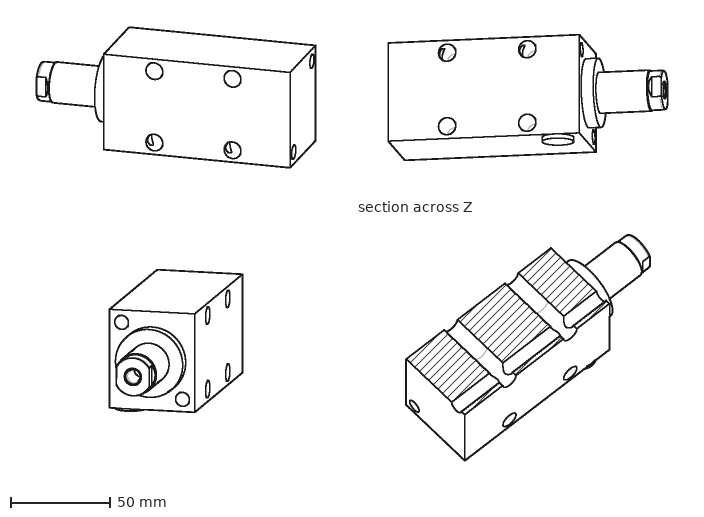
import cadquery as cq

total_length = 137.9
block_start = 39.6
block_width = 44.4
block_height = 50.9

flange_diameter = 35.0
flange_thickness = 6.2

shaft_diameter = 20.8
tip_diameter = 20.0
tip_length = 6.9
tip_chamfer_length = 1.0
tip_chamfer_depth = 0.3

flat_width = 17.1
flat_length = 5.0

bore_diameter = 6.8
bore_mouth_diameter = 8.8
bore_step_diameter = 7.7
bore_step_depth = 2.0
bore_depth = 16.5

cross_hole_diameter = 8.8
cross_hole_start = 66.3
cross_hole_pitch = 41.2
long_hole_diameter = 7.2
hole_offset_y = 15.9
hole_offset_z = 19.0

port_diameter = 16.0
port_height = 2.2
port_x = 52.1

block_length = total_length - block_start
flange_start = block_start - flange_thickness
shaft_radius = shaft_diameter / 2
tip_radius = tip_diameter / 2
shoulder_length = shaft_radius - tip_radius
port_y = block_width / 2 - port_diameter / 2


def make_block():
    """Rectangular housing with a round flange on its front face."""
    block = cq.Workplane("XY").box(block_length, block_width, block_height)
    block = block.translate((block_start + block_length / 2, 0, 0))
    flange = cq.Workplane("YZ", origin=(flange_start, 0, 0)).circle(flange_diameter / 2)
    return block.union(flange.extrude(flange_thickness))


def make_port():
    """Low round boss under the housing, touching the line of its +Y side."""
    bottom = cq.Workplane("XY", origin=(port_x, port_y, -block_height / 2))
    return bottom.circle(port_diameter / 2).extrude(-port_height)


def make_shaft():
    """Turned shaft with a reduced, chamfered tip and a 45 degree shoulder."""
    profile = (
        cq.Workplane("XY")
        .moveTo(0, 0)
        .lineTo(0, tip_radius - tip_chamfer_depth)
        .lineTo(tip_chamfer_length, tip_radius)
        .lineTo(tip_length, tip_radius)
        .lineTo(tip_length + shoulder_length, shaft_radius)
        .lineTo(block_start, shaft_radius)
        .lineTo(block_start, 0)
        .close()
    )
    return profile.revolve(360, (0, 0, 0), (1, 0, 0))


def make_flat_cutter(side):
    """Wedge for one wrench flat, running out at 45 degrees; side is +1 or -1 along Y."""
    inner = flat_width / 2
    outer = shaft_diameter
    run_out = outer - inner
    outline = [
        (0, side * inner),
        (flat_length, side * inner),
        (flat_length + run_out, side * outer),
        (0, side * outer),
    ]
    cutter = cq.Workplane("XY").polyline(outline).close()
    return cutter.extrude(shaft_radius, both=True)


def make_bore():
    """Blind bore in the shaft tip with a 45 degree mouth chamfer followed by a slimmer cone."""
    bore_radius = bore_diameter / 2
    step_radius = bore_step_diameter / 2
    mouth_radius = bore_mouth_diameter / 2
    profile = (
        cq.Workplane("XY")
        .moveTo(0, 0)
        .lineTo(0, mouth_radius)
        .lineTo(mouth_radius - step_radius, step_radius)
        .lineTo(bore_step_depth, bore_radius)
        .lineTo(bore_depth, bore_radius)
        .lineTo(bore_depth, 0)
        .close()
    )
    return profile.revolve(360, (0, 0, 0), (1, 0, 0))


def make_cross_holes():
    """Four mounting holes through the housing along Y."""
    centers = [
        (x, z)
        for x in (cross_hole_start, cross_hole_start + cross_hole_pitch)
        for z in (-hole_offset_z, hole_offset_z)
    ]
    holes = cq.Workplane("XZ").pushPoints(centers).circle(cross_hole_diameter / 2)
    return holes.extrude(block_width, both=True)


def make_long_holes():
    """Two diagonally opposite holes through the housing along X."""
    front_face = cq.Workplane("YZ", origin=(block_start, 0, 0))
    centers = [(hole_offset_y, hole_offset_z), (-hole_offset_y, -hole_offset_z)]
    return front_face.pushPoints(centers).circle(long_hole_diameter / 2).extrude(block_length)


shaft = make_shaft().cut(make_bore())
for side in (1, -1):
    shaft = shaft.cut(make_flat_cutter(side))

housing = make_block().union(make_port())
housing = housing.cut(make_cross_holes()).cut(make_long_holes())

result = housing.union(shaft)